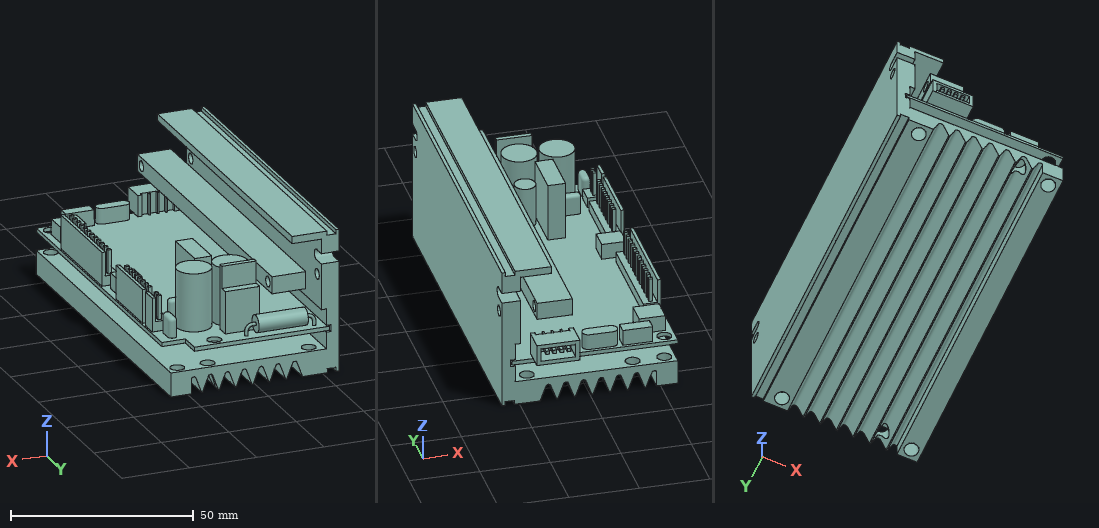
import cadquery as cq
import math


SINK_WIDTH = 50.0
SINK_LENGTH = 97.0
SINK_HEIGHT = 42.0
UPPER_WALL = 5.4
LOWER_WALL = 3.8
WALL_STEP_Z = 19.0
FLANGE_REACH = 14.0
FLANGE_THICKNESS = 2.1
BASE_TOP = 7.2
GROOVE_START = 1.0
TOP_GROOVE_END = 3.7
BOTTOM_GROOVE_END = 3.5
GROOVE_DEPTH = 1.2
FIN_COUNT = 7
FIN_PITCH = SINK_WIDTH / 10
FIRST_FIN_GAP_X = 13.2
FIN_GAP_HALF_WIDTH = 2.3
FIN_GAP_DEPTH = 4.9
FIN_ROOT_RADIUS = 0.7
FIN_ZONE_END = 43.8

WALL_HOLE_DIAMETER = 3.0
WALL_SLOT_DEPTH = 5.0
WALL_SLOT_Z = 34.0
END_INSET = 3.0
HOLE_Y = (END_INSET, SINK_LENGTH - END_INSET)
MOUNT_DIAMETER = 4.0
CORNER_HOLE_X = 46.9
BASE_HOLE_X = (7.9, 37.9, CORNER_HOLE_X)

BAR_X = 10.0
BAR_WIDTH = 10.0
BAR_HEIGHT = 5.0
BAR_Z = 26.0

BOARD_LEFT = 2.9
BOARD_BOTTOM = 12.5
BOARD_TOP = 13.7
EDGE_SLOT_FLOOR = 2.5
EDGE_SLOT_CLEARANCE = 0.4
NOTCH_WIDTH = 7.0
NOTCH_LENGTH = 6.6
BACK_HOLE_X = 35.9

LOW_TOP = 18.4
TALL_TOP = 30.9
RIGHT_BLOCK_EDGE = 48.0

CAPACITOR_DIAMETER = 10.0
CAPACITOR_X = (26.4, 37.1)
CAPACITOR_Y = 82.0
SMALL_CAPACITOR_DIAMETER = 6.0
SMALL_CAPACITOR_X = 25.8
SMALL_CAPACITOR_Y = 73.3
SMALL_CAPACITOR_TOP = 26.0

TRANSISTOR_X = 21.3
TRANSISTOR_WIDTH = 10.2
TRANSISTOR_FRONT = 87.3
TAB_THICKNESS = 1.5
TAB_TOP = 32.8
PACKAGE_THICKNESS = 2.5
PACKAGE_TOP = 26.3

AXIAL_DIAMETER = 5.0
AXIAL_START = 9.2
AXIAL_END = 23.8
AXIAL_Y = SINK_LENGTH - AXIAL_DIAMETER / 2
AXIAL_Z = 16.8
WIRE_DIAMETER = 1.0
WIRE_REACH = 2.7
WIRE_BEND_RADIUS = 1.8

ROUNDED_TOP = 19.8

CRYSTAL_LENGTH = 10.0
CRYSTAL_WIDTH = 3.5
CRYSTAL_X = 28.5
CRYSTAL_Y = 2.7

HEADER_LEFT = 44.4
HEADER_PLATE_LEFT = 48.5
HEADER_PLATE_RIGHT = 49.5
HEADER_BASE_TOP = 16.7
HEADER_PIN_X = 46.9
HEADER_PIN_TOP = 23.7
HEADER_PIN_INSET = 1.5
PIN_SIDE = 1.0

SOCKET_LEFT = 8.9
SOCKET_WIDTH = 12.2
SOCKET_FRONT = -4.0
SOCKET_BACK = 3.1
SOCKET_TOP = 20.0
SOCKET_WALL = 1.2
SOCKET_CAVITY_DEPTH = 5.0
SOCKET_PIN_COUNT = 4
SOCKET_PIN_PITCH = 2.0
SOCKET_PIN_Z = 17.4
BACK_NOTCH_PITCH = 2.5
BACK_NOTCH_WIDTH = 2.0
BACK_NOTCH_DEPTH = 1.1


def box(x0, x1, y0, y1, z0, z1):
    """Axis-aligned block between the given limits."""
    return cq.Workplane("XY").box(x1 - x0, y1 - y0, z1 - z0, centered=False).translate((x0, y0, z0))


def upright(diameter, x, y, z0, z1):
    """Vertical cylinder."""
    return cq.Workplane("XY", origin=(x, y, z0)).circle(diameter / 2).extrude(z1 - z0)


def along_x(diameter, x0, x1, y, z):
    """Cylinder parallel to X."""
    return cq.Workplane("YZ", origin=(x0, y, z)).circle(diameter / 2).extrude(x1 - x0)


def sink_profile():
    """C-shaped section with the shallow grooves at both ends of the wall."""
    groove_top = SINK_HEIGHT - GROOVE_DEPTH
    points = [
        (0, 0),
        (GROOVE_START, 0),
        (GROOVE_START, GROOVE_DEPTH),
        (BOTTOM_GROOVE_END, GROOVE_DEPTH),
        (BOTTOM_GROOVE_END, 0),
        (SINK_WIDTH, 0),
        (SINK_WIDTH, BASE_TOP),
        (LOWER_WALL, BASE_TOP),
        (LOWER_WALL, WALL_STEP_Z),
        (UPPER_WALL, WALL_STEP_Z),
        (UPPER_WALL, SINK_HEIGHT - FLANGE_THICKNESS),
        (FLANGE_REACH, SINK_HEIGHT - FLANGE_THICKNESS),
        (FLANGE_REACH, SINK_HEIGHT),
        (TOP_GROOVE_END, SINK_HEIGHT),
        (TOP_GROOVE_END, groove_top),
        (GROOVE_START, groove_top),
        (GROOVE_START, SINK_HEIGHT),
        (0, SINK_HEIGHT),
    ]
    section = cq.Workplane("XZ", origin=(0, SINK_LENGTH, 0)).polyline(points).close()
    return section.extrude(SINK_LENGTH)


def fin_gap(x):
    """V-shaped gap between two fins with a rounded root."""
    half = FIN_GAP_HALF_WIDTH
    radius = FIN_ROOT_RADIUS
    rise = FIN_GAP_DEPTH - radius
    flank = math.sqrt(half**2 + rise**2 - radius**2)
    apex = half * (half * rise + radius * flank) / (half**2 - radius**2)
    triangle = cq.Workplane("XZ", origin=(x, SINK_LENGTH, 0)).polyline([(-half, 0), (half, 0), (0, apex)])
    return triangle.close().extrude(SINK_LENGTH).edges("|Y and >Z").fillet(radius)


def make_sink():
    sink = sink_profile()
    fin_zone = box(0, FIN_ZONE_END, 0, SINK_LENGTH, 0, BASE_TOP)
    for i in range(FIN_COUNT):
        sink = sink.cut(fin_gap(FIRST_FIN_GAP_X + i * FIN_PITCH).intersect(fin_zone))
    sink = sink.cut(
        box(
            EDGE_SLOT_FLOOR, LOWER_WALL, 0, SINK_LENGTH,
            BOARD_BOTTOM - EDGE_SLOT_CLEARANCE, BOARD_TOP + EDGE_SLOT_CLEARANCE,
        )
    )
    for y in HOLE_Y:
        sink = sink.cut(along_x(WALL_HOLE_DIAMETER, 0, UPPER_WALL, y, BAR_Z + BAR_HEIGHT / 2))
        for x in BASE_HOLE_X:
            sink = sink.cut(upright(MOUNT_DIAMETER, x, y, 0, BASE_TOP))
    for y in (0, SINK_LENGTH):
        slot = cq.Workplane("YZ", origin=(0, y, WALL_SLOT_Z)).slot2D(2 * WALL_SLOT_DEPTH, WALL_HOLE_DIAMETER)
        sink = sink.cut(slot.extrude(UPPER_WALL))
    return sink


def make_bar():
    bar = box(BAR_X, BAR_X + BAR_WIDTH, 0, SINK_LENGTH, BAR_Z, BAR_Z + BAR_HEIGHT)
    for y in HOLE_Y:
        bar = bar.cut(along_x(WALL_HOLE_DIAMETER, BAR_X, BAR_X + BAR_WIDTH, y, BAR_Z + BAR_HEIGHT / 2))
    return bar


def block(x0, x1, y0, y1, top=LOW_TOP):
    return box(x0, x1, y0, y1, BOARD_TOP, top)


def bare_board():
    board = box(BOARD_LEFT, SINK_WIDTH, 0, SINK_LENGTH, BOARD_BOTTOM, BOARD_TOP)
    notch = box(
        SINK_WIDTH - NOTCH_WIDTH, SINK_WIDTH, SINK_LENGTH - NOTCH_LENGTH, SINK_LENGTH,
        BOARD_BOTTOM, BOARD_TOP,
    )
    front_hole = upright(MOUNT_DIAMETER, CORNER_HOLE_X, HOLE_Y[0], BOARD_BOTTOM, BOARD_TOP)
    back_hole = upright(MOUNT_DIAMETER, BACK_HOLE_X, HOLE_Y[1], BOARD_BOTTOM, BOARD_TOP)
    return board.cut(notch).cut(front_hole).cut(back_hole)


def can_capacitors():
    cans = upright(
        SMALL_CAPACITOR_DIAMETER, SMALL_CAPACITOR_X, SMALL_CAPACITOR_Y,
        BOARD_TOP, SMALL_CAPACITOR_TOP,
    )
    for x in CAPACITOR_X:
        cans = cans.union(upright(CAPACITOR_DIAMETER, x, CAPACITOR_Y, BOARD_TOP, TALL_TOP))
    return cans


def transistor():
    """Thin tall tab with the thicker, shorter package behind it."""
    right = TRANSISTOR_X + TRANSISTOR_WIDTH
    tab_back = TRANSISTOR_FRONT + TAB_THICKNESS
    tab = block(TRANSISTOR_X, right, TRANSISTOR_FRONT, tab_back, TAB_TOP)
    package = block(TRANSISTOR_X, right, tab_back, tab_back + PACKAGE_THICKNESS, PACKAGE_TOP)
    return tab.union(package)


def axial_capacitor():
    """Lying cylinder with a wire at each end that bends down into the board."""
    body = along_x(AXIAL_DIAMETER, AXIAL_START, AXIAL_END, AXIAL_Y, AXIAL_Z)
    for end, side in ((AXIAL_START, -1), (AXIAL_END, 1)):
        bend_x = end + side * (WIRE_REACH - WIRE_BEND_RADIUS)
        foot_x = end + side * WIRE_REACH
        bend_z = AXIAL_Z - WIRE_BEND_RADIUS
        diagonal = WIRE_BEND_RADIUS * math.sqrt(0.5)
        path = (
            cq.Workplane("XZ", origin=(0, AXIAL_Y, 0))
            .moveTo(end, AXIAL_Z)
            .lineTo(bend_x, AXIAL_Z)
            .threePointArc((bend_x + side * diagonal, bend_z + diagonal), (foot_x, bend_z))
            .lineTo(foot_x, BOARD_TOP)
        )
        wire = cq.Workplane("YZ", origin=(end, AXIAL_Y, AXIAL_Z)).circle(WIRE_DIAMETER / 2).sweep(path)
        body = body.union(wire)
    return body


def crystal():
    """Upright can with a round-ended outline."""
    base = cq.Workplane("XY", origin=(CRYSTAL_X, CRYSTAL_Y, BOARD_TOP))
    return base.slot2D(CRYSTAL_LENGTH, CRYSTAL_WIDTH).extrude(LOW_TOP - BOARD_TOP)


def rounded_block(x0, x1, y0, y1, radius):
    """Small part whose upright and top edges are all rounded."""
    return block(x0, x1, y0, y1, ROUNDED_TOP).edges("|Z").fillet(radius).faces(">Z").edges().fillet(radius)


def ball_ended_part(x, y0, y1, diameter):
    """Round-topped part along Y with ball ends; its sides drop straight to the board."""
    radius = diameter / 2
    axis_z = ROUNDED_TOP - radius
    part = block(x - radius, x + radius, y0 + radius, y1 - radius, axis_z)
    barrel = cq.Workplane("XZ", origin=(x, y1 - radius, axis_z)).circle(radius).extrude(y1 - y0 - diameter)
    part = part.union(barrel)
    for y in (y0 + radius, y1 - radius):
        part = part.union(upright(diameter, x, y, BOARD_TOP, axis_z))
        part = part.union(cq.Workplane("XY", origin=(x, y, axis_z)).sphere(radius))
    return part


def pin_header(y0, y1, pin_count):
    """Row of upright pins on a low base, with a tall plate along its outer edge."""
    header = block(HEADER_LEFT, HEADER_PLATE_RIGHT, y0, y1, HEADER_BASE_TOP)
    header = header.union(block(HEADER_PLATE_LEFT, HEADER_PLATE_RIGHT, y0, y1, HEADER_PIN_TOP))
    pitch = (y1 - y0 - 2 * HEADER_PIN_INSET) / (pin_count - 1)
    half = PIN_SIDE / 2
    for i in range(pin_count):
        y = y0 + HEADER_PIN_INSET + i * pitch
        pin = block(HEADER_PIN_X - half, HEADER_PIN_X + half, y - half, y + half, HEADER_PIN_TOP)
        header = header.union(pin)
    return header


def front_socket():
    """Open-fronted socket with a row of pins inside and upright notches in its back."""
    right = SOCKET_LEFT + SOCKET_WIDTH
    socket = block(SOCKET_LEFT, right, SOCKET_FRONT, SOCKET_BACK, SOCKET_TOP)
    cavity_back = SOCKET_FRONT + SOCKET_CAVITY_DEPTH
    cavity = box(
        SOCKET_LEFT + SOCKET_WALL, right - SOCKET_WALL,
        SOCKET_FRONT, cavity_back,
        BOARD_TOP + SOCKET_WALL, SOCKET_TOP - SOCKET_WALL,
    )
    socket = socket.cut(cavity)
    half = PIN_SIDE / 2
    pin_bottom = SOCKET_PIN_Z - half
    half_notch = BACK_NOTCH_WIDTH / 2
    notch_floor = SOCKET_BACK - BACK_NOTCH_DEPTH
    centre_x = SOCKET_LEFT + SOCKET_WIDTH / 2
    for i in range(SOCKET_PIN_COUNT):
        step = i - (SOCKET_PIN_COUNT - 1) / 2
        pin_x = centre_x + step * SOCKET_PIN_PITCH
        pin = box(pin_x - half, pin_x + half, SOCKET_FRONT, cavity_back, pin_bottom, pin_bottom + PIN_SIDE)
        notch_x = centre_x + step * BACK_NOTCH_PITCH
        notch = block(notch_x - half_notch, notch_x + half_notch, notch_floor, SOCKET_BACK, SOCKET_TOP)
        socket = socket.union(pin).cut(notch)
    return socket


def make_board():
    components = [
        can_capacitors(),
        transistor(),
        axial_capacitor(),
        front_socket(),
        rounded_block(x0=34.8, x1=42.0, y0=74.2, y1=76.8, radius=1.0),
        ball_ended_part(x=45.8, y0=82.9, y1=88.7, diameter=2.5),
        crystal(),
        pin_header(y0=77.3, y1=82.3, pin_count=2),
        pin_header(y0=56.4, y1=75.4, pin_count=8),
        pin_header(y0=16.6, y1=46.3, pin_count=12),
        block(x0=29.4, x1=34.4, y0=62.5, y1=76.4, top=TALL_TOP),
        block(x0=41.0, x1=RIGHT_BLOCK_EDGE, y0=48.5, y1=54.5),
        block(x0=40.5, x1=RIGHT_BLOCK_EDGE, y0=6.0, y1=12.8),
        block(x0=34.5, x1=43.0, y0=0.9, y1=4.4),
    ]
    board = bare_board()
    for component in components:
        board = board.union(component)
    return board


heat_sink = make_sink()
clamp_bar = make_bar()
circuit_board = make_board()

result = cq.Compound.makeCompound([heat_sink.val(), clamp_bar.val(), circuit_board.val()])